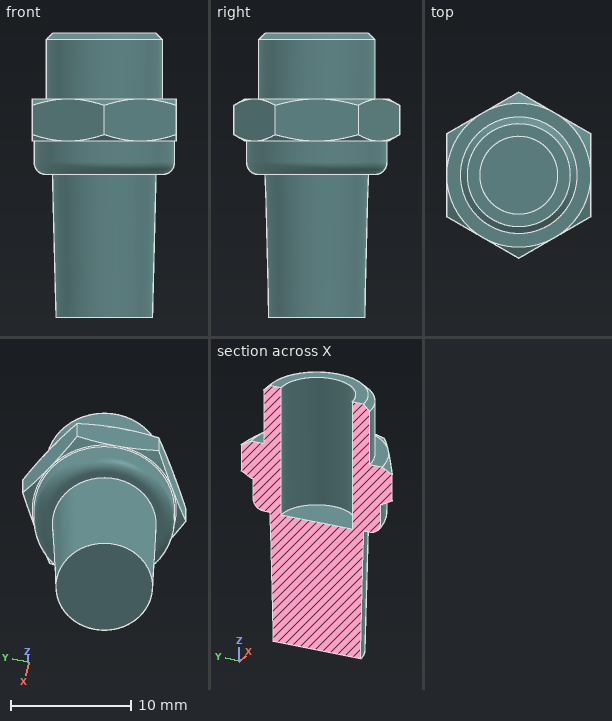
import cadquery as cq
import math

total_height = 23.7
stem_height = 11.9
collar_height = 2.8
hex_height = 3.5
collar_top = stem_height + collar_height
hex_top = collar_top + hex_height

stem_bottom_diameter = 8.05
stem_top_diameter = 8.65
collar_diameter = 11.7
collar_fillet = 1.0
across_flats = 12.0
hex_chamfer_angle = 30.0
neck_diameter = 9.72
neck_chamfer = 0.57
bore_diameter = 6.5
bore_floor = stem_height


def make_stem():
    """Solid stem that widens slightly towards the collar."""
    return (
        cq.Workplane("XY")
        .circle(stem_bottom_diameter / 2)
        .workplane(offset=stem_height)
        .circle(stem_top_diameter / 2)
        .loft(ruled=True)
    )


def make_collar():
    """Round collar with a rounded lower edge."""
    collar = cq.Workplane("XY").workplane(offset=stem_height)
    collar = collar.circle(collar_diameter / 2).extrude(collar_height)
    return collar.faces("<Z").edges().fillet(collar_fillet)


def make_hexagon():
    """Hexagon with corners on the Y axis, its corners turned down at both ends."""
    flat_radius = across_flats / 2
    corner_radius = flat_radius / math.cos(math.radians(30))
    corner_drop = (corner_radius - flat_radius) * math.tan(math.radians(hex_chamfer_angle))
    prism = (
        cq.Workplane("XY")
        .workplane(offset=collar_top)
        .transformed(rotate=(0, 0, 90))
        .polygon(6, 2 * corner_radius)
        .extrude(hex_height)
    )
    turned_envelope = (
        cq.Workplane("XZ")
        .moveTo(0, collar_top)
        .lineTo(flat_radius, collar_top)
        .lineTo(corner_radius, collar_top + corner_drop)
        .lineTo(corner_radius, hex_top - corner_drop)
        .lineTo(flat_radius, hex_top)
        .lineTo(0, hex_top)
        .close()
        .revolve(360, (0, 0, 0), (0, 1, 0))
    )
    return prism.intersect(turned_envelope)


def make_neck():
    """Cylindrical neck with a chamfered upper edge."""
    neck = cq.Workplane("XY").workplane(offset=hex_top)
    neck = neck.circle(neck_diameter / 2).extrude(total_height - hex_top)
    return neck.faces(">Z").edges().chamfer(neck_chamfer)


def make_bore():
    """Cutter for the blind bore open at the top."""
    bore = cq.Workplane("XY").workplane(offset=bore_floor)
    return bore.circle(bore_diameter / 2).extrude(total_height - bore_floor)


body = make_stem().union(make_collar()).union(make_hexagon()).union(make_neck())
result = body.cut(make_bore())